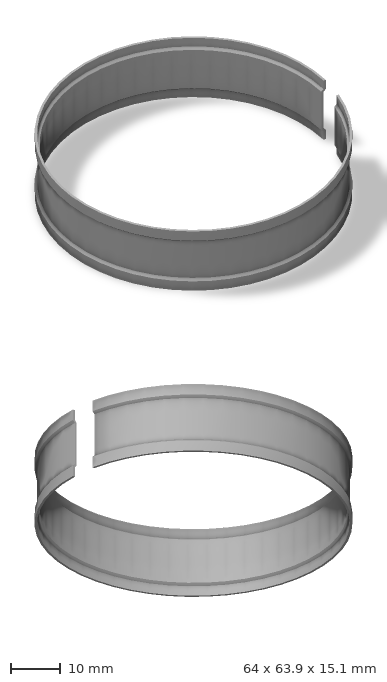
import cadquery as cq
import math

outer_radius = 32.0
height = 15.1
sheet_thickness = 0.5
step_depth = 0.5
step_height = 0.5
lip_height = 2.4
gap_width = 5.5

half_height = height / 2
lip_inner_radius = outer_radius - sheet_thickness
band_outer_radius = outer_radius - step_depth
band_inner_radius = band_outer_radius - sheet_thickness
lip_edge = half_height - lip_height
band_edge = lip_edge - step_height

step_angle = math.atan2(step_depth, step_height)
bend_shift = sheet_thickness * math.tan(step_angle / 2)
inner_lip_edge = lip_edge + bend_shift
inner_band_edge = band_edge + bend_shift


def make_ring():
    """Revolve the stepped sheet section around the Z axis."""
    section = [
        (outer_radius, -half_height),
        (outer_radius, -lip_edge),
        (band_outer_radius, -band_edge),
        (band_outer_radius, band_edge),
        (outer_radius, lip_edge),
        (outer_radius, half_height),
        (lip_inner_radius, half_height),
        (lip_inner_radius, inner_lip_edge),
        (band_inner_radius, inner_band_edge),
        (band_inner_radius, -inner_band_edge),
        (lip_inner_radius, -inner_lip_edge),
        (lip_inner_radius, -half_height),
    ]
    return cq.Workplane("XZ").polyline(section).close().revolve(360, (0, 0), (0, 1))


def make_gap_cutter():
    """Parallel-sided block that splits the ring on its +Y side."""
    return (
        cq.Workplane("XY")
        .box(gap_width, outer_radius, height)
        .translate((0, outer_radius, 0))
    )


result = make_ring().cut(make_gap_cutter())